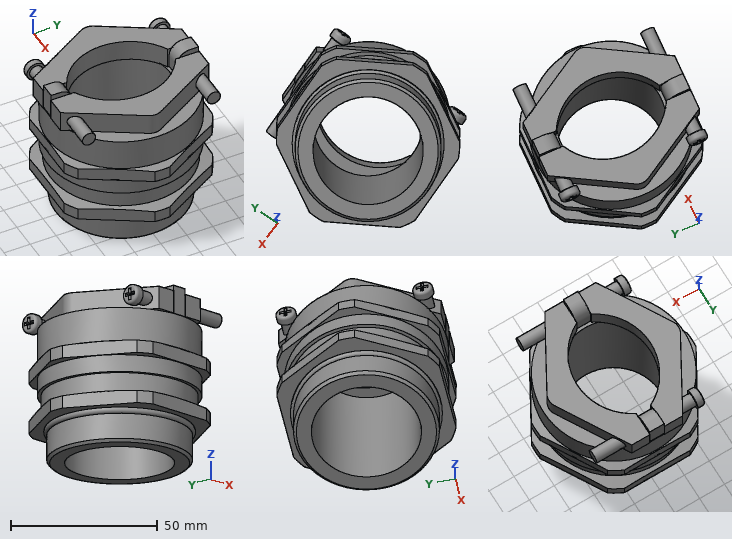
import cadquery as cq
import math

bore_radius = 18.85
thread_radius = 25.0
thread_chamfer = 1.0
neck_radius = 26.95
sleeve_radius = 28.2
sleeve_bottom_z = 24.0
body_top_z = 47.0

ring_radius = 26.0
ring_section_radius = 1.2
ring_bottom_z = 10.0

nut_flats = 57.0
nut_corner_radius = 31.4
nut_height = 5.2
nut_bevel_drop = 0.8
nut_bevel_radius = neck_radius
lower_nut_z = 12.0
upper_nut_z = 30.0

clamp_height = 8.0
clamp_depth = nut_flats
clamp_slant_distance = 23.1
clamp_corner_fillet = 4.8
opening_arc_radius = 21.85
opening_arc_offset = 7.15

block_width = 5.85
block_outer_y = 28.3
block_inner_y = 20.0
block_height = 10.05
block_round = 5.0

screw_y = 24.0
shank_diameter = 5.0
shank_end_x = 23.0
head_diameter = 7.05
head_face_x = -20.0
head_height = 3.0
head_fillet = 1.0
recess_length = 4.15
recess_width = 1.05
recess_depth = 1.0
recess_taper = 20.0

screw_z = body_top_z + clamp_height / 2


def cylinder(radius, bottom, top):
    return cq.Workplane("XY").workplane(offset=bottom).circle(radius).extrude(top - bottom)


def make_body():
    """Stepped outside of the body, still without its bore."""
    thread = cylinder(thread_radius, 0, lower_nut_z).faces("<Z").chamfer(thread_chamfer)
    section_center_x = ring_radius - ring_section_radius
    ring_middle_z = ring_bottom_z + ring_section_radius
    ring_top_z = ring_middle_z + ring_section_radius
    ring = (
        cq.Workplane("XZ")
        .moveTo(section_center_x, ring_bottom_z)
        .threePointArc((ring_radius, ring_middle_z), (section_center_x, ring_top_z))
        .close()
        .revolve(360, (0, 0, 0), (0, 1, 0))
    )
    neck = cylinder(neck_radius, lower_nut_z, sleeve_bottom_z)
    sleeve = cylinder(sleeve_radius, sleeve_bottom_z, body_top_z)
    return thread.union(ring).union(neck).union(sleeve)


def make_nut(bottom):
    """Hexagonal nut trimmed by a disc whose top face slopes down towards the corners."""
    corner_diameter = nut_flats / math.cos(math.radians(30))
    hexagon = cq.Workplane("XY").polygon(6, corner_diameter).extrude(nut_height)
    disc = (
        cq.Workplane("XZ")
        .moveTo(0, 0)
        .lineTo(nut_corner_radius, 0)
        .lineTo(nut_corner_radius, nut_height - nut_bevel_drop)
        .lineTo(nut_bevel_radius, nut_height)
        .lineTo(0, nut_height)
        .close()
        .revolve(360, (0, 0, 0), (0, 1, 0))
    )
    return hexagon.intersect(disc).translate((0, 0, bottom))


def make_clamp():
    """Clamp plate with a lens-shaped opening, split into two halves by a gap along Y."""
    half_depth = clamp_depth / 2
    tip_x = clamp_slant_distance / math.cos(math.radians(30))
    shoulder_x = tip_x - half_depth * math.tan(math.radians(30))
    base = cq.Workplane("XY").workplane(offset=body_top_z)
    outline = [
        (tip_x, 0),
        (shoulder_x, half_depth),
        (-shoulder_x, half_depth),
        (-tip_x, 0),
        (-shoulder_x, -half_depth),
        (shoulder_x, -half_depth),
    ]
    plate = base.polyline(outline).close().extrude(clamp_height)
    plate = plate.edges("|Z and (<X or >X)").fillet(clamp_corner_fillet)

    right_disc = base.center(-opening_arc_offset, 0).circle(opening_arc_radius).extrude(clamp_height)
    left_disc = base.center(opening_arc_offset, 0).circle(opening_arc_radius).extrude(clamp_height)
    opening = right_disc.intersect(left_disc)
    gap = base.rect(block_width, clamp_depth).extrude(clamp_height)
    return plate.cut(opening).cut(gap)


def make_block():
    """Filler block on the +Y side, rounded along its upper inner edge."""
    block_depth = block_outer_y - block_inner_y
    block = (
        cq.Workplane("XY")
        .box(block_width, block_depth, block_height, centered=(True, False, False))
        .translate((0, block_inner_y, body_top_z))
    )
    return block.edges("|X and >Z and <Y").fillet(block_round)


def make_screw():
    """Screw along +X on the X axis, with its cross recess in the -X face."""
    start = cq.Workplane("YZ").workplane(offset=head_face_x)
    head = start.circle(head_diameter / 2).extrude(head_height)
    head = head.faces("<X").edges().fillet(head_fillet)
    shank = (
        cq.Workplane("YZ")
        .workplane(offset=head_face_x + head_height)
        .circle(shank_diameter / 2)
        .extrude(shank_end_x - head_face_x - head_height)
    )
    screw = head.union(shank)
    for size in ((recess_length, recess_width), (recess_width, recess_length)):
        screw = screw.cut(start.rect(*size).extrude(recess_depth, taper=recess_taper))
    return screw


result = make_body()
for level in (lower_nut_z, upper_nut_z):
    result = result.union(make_nut(level))
result = result.cut(cylinder(bore_radius, 0, body_top_z))

result = result.union(make_clamp())
block = make_block()
result = result.union(block).union(block.mirror("XZ"))

screw = make_screw()
for y in (-screw_y, screw_y):
    result = result.union(screw.translate((0, y, screw_z)))